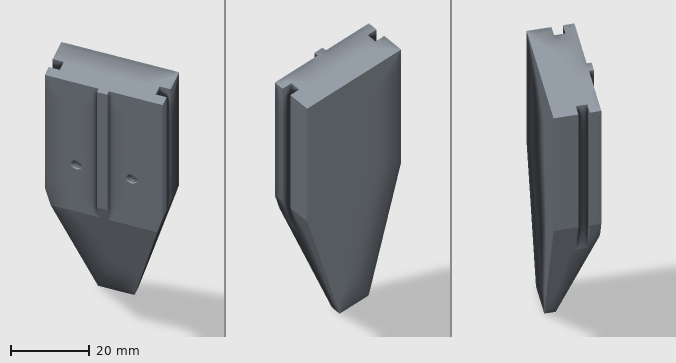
import cadquery as cq
import math

width = 32.0
body_depth = 12.5
height = 82.5
taper_angle = math.radians(15)
taper_start = height / 2
tip_depth = 3.0

rib_width = 2.8
rib_height = 1.3

groove_depth = 3.0
groove_width = 3.0
groove_back = 6.5

hole_spacing = 15.0
hole_drop = 30.0
countersink_diameter = 3.1
countersink_depth = 0.3
step_diameter = 2.8
step_depth = 0.6
bore_diameter = 2.4
bore_depth = 8.0
drill_point_angle = math.radians(118)

overall_depth = body_depth + rib_height
tip_half_width = width / 2 - taper_start * math.tan(taper_angle)
slope_height = (overall_depth - tip_depth) / math.tan(taper_angle)


def box_between(x_min, x_max, y_min, y_max):
    """Full-height box spanning the given X and Y ranges."""
    return (
        cq.Workplane("XY")
        .box(x_max - x_min, y_max - y_min, height, centered=False)
        .translate((x_min, y_min, 0))
    )


def cross_section_bar():
    """Straight bar with the front rib and the two side grooves."""
    bar = box_between(-width / 2, width / 2, -body_depth, 0)
    bar = bar.union(box_between(-rib_width / 2, rib_width / 2, -overall_depth, 0))
    groove_front = -groove_back - groove_width
    floor_x = width / 2 - groove_depth
    for x_min, x_max in ((-width / 2, -floor_x), (floor_x, width / 2)):
        bar = bar.cut(box_between(x_min, x_max, groove_front, -groove_back))
    return bar


def width_envelope():
    """Front outline: straight sides that taper evenly to the tip."""
    return (
        cq.Workplane("XZ")
        .moveTo(-tip_half_width, 0)
        .lineTo(tip_half_width, 0)
        .lineTo(width / 2, taper_start)
        .lineTo(width / 2, height)
        .lineTo(-width / 2, height)
        .lineTo(-width / 2, taper_start)
        .close()
        .extrude(overall_depth)
    )


def depth_envelope():
    """Side outline: flat back, front sloping back to the thin tip."""
    return (
        cq.Workplane("YZ")
        .moveTo(0, 0)
        .lineTo(-tip_depth, 0)
        .lineTo(-overall_depth, slope_height)
        .lineTo(-overall_depth, height)
        .lineTo(0, height)
        .close()
        .extrude(width / 2, both=True)
    )


def hole_cutter(x):
    """Countersunk, stepped blind hole, revolved about its axis along Y."""
    step_radius = step_diameter / 2
    bore_radius = bore_diameter / 2
    point_length = bore_radius / math.tan(drill_point_angle / 2)
    mouth = -body_depth
    step_floor = mouth + step_depth
    bore_end = mouth + bore_depth
    return (
        cq.Workplane("XY")
        .moveTo(0, mouth)
        .lineTo(countersink_diameter / 2, mouth)
        .lineTo(step_radius, mouth + countersink_depth)
        .lineTo(step_radius, step_floor)
        .lineTo(bore_radius, step_floor)
        .lineTo(bore_radius, bore_end)
        .lineTo(0, bore_end + point_length)
        .close()
        .revolve(360, (0, 0, 0), (0, 1, 0))
        .translate((x, 0, height - hole_drop))
    )


result = cross_section_bar().intersect(width_envelope()).intersect(depth_envelope())
for hole_x in (-hole_spacing / 2, hole_spacing / 2):
    result = result.cut(hole_cutter(hole_x))